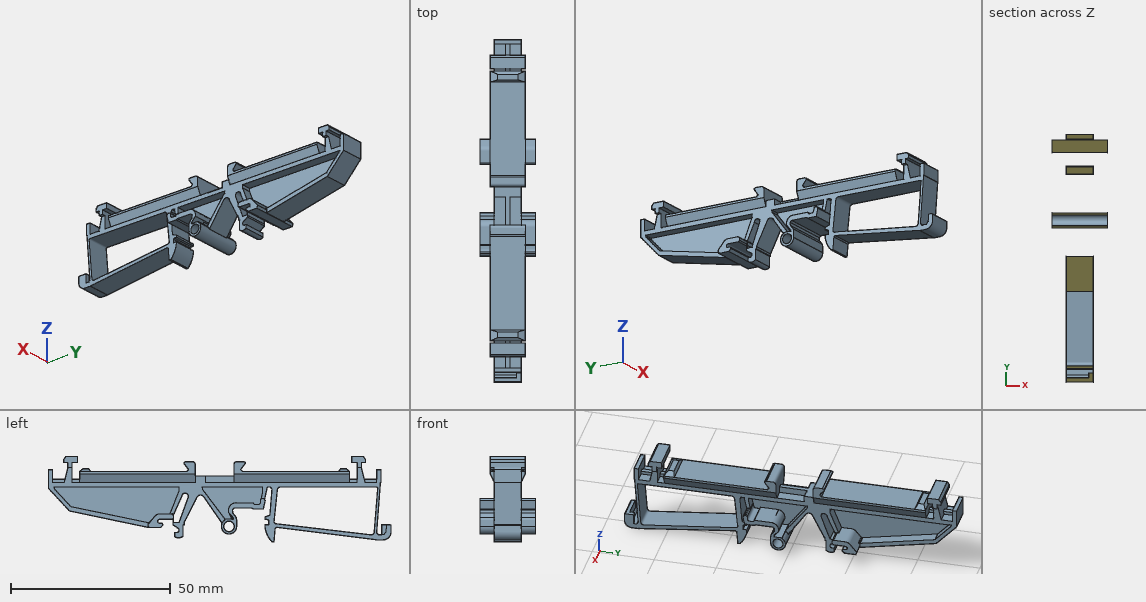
import cadquery as cq


OVERALL_HEIGHT = 26.75

BODY_WIDTH = 8.5
SEAT_WIDTH = 11.0
FULL_WIDTH = 17.5
WEB_WIDTH = 1.5

BEAM_THICKNESS = 1.5
BEAM_PLUS_END = 52.0
BEAM_MINUS_END = -51.5

SEAT_INNER = 6.0
SEAT_OUTER = 42.2
SEAT_TOP = 3.4
SEAT_EDGE_BOTTOM = 2.65
HOOK_TOP = 6.5
HOOK_REACH = 9.6
HOOK_ROUND = 1.0
BUMP_HEIGHT = 0.87
BUMP_TOP_WIDTH = 6.4
CLIP_TOP = 8.13
CLIP_BOTTOM = 6.15
CLIP_LEDGE = 4.6

WALL_TOP = 3.95
WALL_INNER = 50.65
MINUS_WALL_OUTER = -52.05
END_RIB_TOP = 1.0
CENTER_TOP = 2.0
CENTER_BLOCK_END = 2.85

SKIRT_BOTTOM = -14.15
HOOK_ARM_TOP = -9.9
HOOK_ARM_BOTTOM = -11.6
FOOT_TOP = -12.5
HINGE_OUTER = 13.1
HINGE_INNER = 12.85
CROTCH_Y = 5.4
CROTCH_Z = -4.5

ARM_ROOT_Z = -5.05
ARM_TOP = -6.4
ARM_BOTTOM = -8.05
RING_Y = -4.5
RING_Z = -13.8
RING_RADIUS = 2.4
RING_FLAT_Z = -11.55
RING_BORE_RADIUS = 1.62
RING_STRAP_Y = -6.95

LIP_OUTER = -55.2
LIP_TOP = -13.2
LIP_ROUND = 2.5
LIP_CHAMFER = 0.3
HANDLE_BOTTOM = -18.05
LIP_STOP_WIDTH = 1.5

BLADE_TIP_Z = CLIP_TOP - OVERALL_HEIGHT


def prism(points, width):
    """Straight-sided (Y, Z) outline extruded symmetrically about X = 0."""
    return cq.Workplane("YZ").polyline(points).close().extrude(width / 2, both=True)


def box(y_start, y_end, z_low, z_high, width):
    return prism([(y_start, z_low), (y_end, z_low), (y_end, z_high), (y_start, z_high)], width)


def side_pockets(points):
    """Cutter for a pocket on both sides that leaves the central web."""
    return prism(points, BODY_WIDTH).cut(prism(points, WEB_WIDTH))


def round_corner(solid, corner, radius):
    """Fillet the X-parallel edge that passes through the (Y, Z) corner."""
    nearest = cq.selectors.NearestToPointSelector((0, corner[0], corner[1]))
    return solid.edges("|X").edges(nearest).fillet(radius)


def seat_plate():
    """Board plate: upright edges on top, then tapering down to the body width."""
    half_seat = SEAT_WIDTH / 2
    half_body = BODY_WIDTH / 2
    section = [
        (-half_body, 0),
        (half_body, 0),
        (half_seat, SEAT_EDGE_BOTTOM),
        (half_seat, SEAT_TOP),
        (-half_seat, SEAT_TOP),
        (-half_seat, SEAT_EDGE_BOTTOM),
    ]
    plate = cq.Workplane("XZ", origin=(0, SEAT_OUTER, 0)).polyline(section).close()
    return plate.extrude(SEAT_OUTER - SEAT_INNER)


def seat_hook():
    """Undercut hook at the inner end of the board plate."""
    outline = [
        (SEAT_INNER, SEAT_EDGE_BOTTOM),
        (SEAT_INNER, HOOK_TOP),
        (9.0, HOOK_TOP),
        (HOOK_REACH, 6.25),
        (HOOK_REACH, 5.9),
        (8.2, 4.0),
        (8.7, SEAT_TOP),
        (8.7, SEAT_EDGE_BOTTOM),
    ]
    return round_corner(prism(outline, SEAT_WIDTH), (SEAT_INNER, HOOK_TOP), HOOK_ROUND)


def seat_bump():
    """Low locating bump at the outer end of the board plate."""
    base_inner = 38.75
    top_inner = 39.4
    top_outer = 41.2
    base = cq.Workplane("XY", origin=(0, (base_inner + SEAT_OUTER) / 2, SEAT_TOP))
    top_shift = (top_inner + top_outer - base_inner - SEAT_OUTER) / 2
    return (
        base.rect(SEAT_WIDTH, SEAT_OUTER - base_inner)
        .workplane(offset=BUMP_HEIGHT)
        .center(0, top_shift)
        .rect(BUMP_TOP_WIDTH, top_outer - top_inner)
        .loft(ruled=True)
    )


def board_clip():
    """T-shaped clip: a wide head and neck on a stem that flares to the beam."""
    neck_inner = 44.55
    neck_outer = 45.95
    head = prism(
        [(42.85, CLIP_BOTTOM), (42.85, CLIP_TOP), (46.5, CLIP_TOP), (47.2, 7.2), (47.2, CLIP_BOTTOM)],
        SEAT_WIDTH,
    )
    neck = box(neck_inner, neck_outer, CLIP_LEDGE, CLIP_BOTTOM, SEAT_WIDTH)
    stem = prism(
        [(neck_inner, 0), (47.05, 0), (neck_outer, CLIP_LEDGE), (neck_inner, CLIP_LEDGE)],
        BODY_WIDTH,
    )
    return head.union(neck).union(stem)


def board_seat():
    return seat_plate().union(seat_hook()).union(seat_bump()).union(board_clip())


def beam():
    """Main beam with its end walls, narrow ribs and centre block."""
    part = box(BEAM_MINUS_END, BEAM_PLUS_END, -BEAM_THICKNESS, 0, BODY_WIDTH)
    part = part.union(box(WALL_INNER, BEAM_PLUS_END, 0, WALL_TOP, BODY_WIDTH))
    part = part.union(box(MINUS_WALL_OUTER, -WALL_INNER, 0, WALL_TOP, BODY_WIDTH))
    for side in (1, -1):
        part = part.union(box(side * SEAT_OUTER, side * WALL_INNER, 0, END_RIB_TOP, WEB_WIDTH))
    part = part.union(box(CENTER_BLOCK_END, SEAT_INNER, 0, CENTER_TOP, BODY_WIDTH))
    return part.union(box(-SEAT_INNER, CENTER_BLOCK_END, 0, CENTER_TOP, WEB_WIDTH))


def skirt():
    """Pocketed skirt under the +Y seat with the latch foot, joined to it by a thin hinge strip."""
    outline = (
        cq.Workplane("YZ")
        .moveTo(BEAM_PLUS_END, 0)
        .lineTo(BEAM_PLUS_END, -1.9)
        .lineTo(45.4, -9.0)
        .lineTo(20.8, SKIRT_BOTTOM)
        .lineTo(20.8, -12.9)
        .lineTo(17.3, HOOK_ARM_TOP)
        .lineTo(HINGE_OUTER, HOOK_ARM_TOP)
        .lineTo(HINGE_OUTER, -13.3)
        .lineTo(11.6, -14.3)
        .threePointArc((11.15, -15.0), (11.7, -15.65))
        .lineTo(12.5, -15.65)
        .lineTo(12.5, -17.0)
        .threePointArc((11.2, -17.4), (9.85, -16.8))
        .lineTo(9.85, -13.3)
        .lineTo(9.5, -13.3)
        .lineTo(9.5, -12.55)
        .lineTo(CROTCH_Y, CROTCH_Z)
        .lineTo(CROTCH_Y, 0)
        .close()
        .extrude(BODY_WIDTH / 2, both=True)
    )
    pocket = [
        (50.3, -BEAM_THICKNESS),
        (50.0, -2.2),
        (45.0, -7.6),
        (20.7, -12.65),
        (14.0, HOOK_ARM_TOP),
        (11.1, -2.6),
        (11.1, -BEAM_THICKNESS),
    ]
    return outline.cut(side_pockets(pocket)).cut(foot_slot())


def foot_slot():
    """Slanted round-ended slot that frees the latch foot from the skirt."""
    return (
        cq.Workplane("YZ")
        .moveTo(10.25, -4.4)
        .threePointArc((9.5, -3.45), (8.3, -4.7))
        .lineTo(11.15, FOOT_TOP)
        .lineTo(HINGE_INNER, FOOT_TOP)
        .lineTo(HINGE_INNER, -10.2)
        .close()
        .extrude(BODY_WIDTH, both=True)
    )


def rail_hook():
    """Full-width hook at the end of the skirt that grips the rail edge."""
    return (
        cq.Workplane("YZ")
        .moveTo(12.9, -10.35)
        .lineTo(13.45, HOOK_ARM_TOP)
        .lineTo(17.3, HOOK_ARM_TOP)
        .threePointArc((18.05, -10.1), (18.65, -10.55))
        .lineTo(20.9, -13.2)
        .lineTo(20.6, SKIRT_BOTTOM)
        .lineTo(16.9, SKIRT_BOTTOM)
        .lineTo(16.1, -13.3)
        .lineTo(16.4, -12.8)
        .lineTo(17.6, -12.7)
        .threePointArc((17.75, -12.0), (17.1, HOOK_ARM_BOTTOM))
        .lineTo(13.3, HOOK_ARM_BOTTOM)
        .lineTo(12.9, -11.2)
        .close()
        .extrude(FULL_WIDTH / 2, both=True)
    )


def strut_web():
    """Pocketed panel between the slanting strut and the -Y seat."""
    outline = (
        cq.Workplane("YZ")
        .moveTo(CROTCH_Y, 0)
        .lineTo(CROTCH_Y, CROTCH_Z)
        .threePointArc((4.4, -4.0), (3.45, CROTCH_Z))
        .lineTo(-2.35, -12.9)
        .lineTo(-5.5, -12.4)
        .lineTo(-5.2, -9.0)
        .lineTo(-6.3, -7.0)
        .lineTo(-15.3, -7.0)
        .lineTo(-16.5, -BEAM_THICKNESS)
        .lineTo(-16.5, 0)
        .close()
        .extrude(BODY_WIDTH / 2, both=True)
    )
    pocket = [
        (3.9, -BEAM_THICKNESS),
        (3.8, -2.2),
        (-3.05, -11.3),
        (-3.05, -13.0),
        (-5.9, -13.0),
        (-4.3, -9.0),
        (-6.3, ARM_TOP),
        (-6.3, -7.0),
        (-14.2, -7.0),
        (-15.05, -2.7),
        (-15.05, -BEAM_THICKNESS),
    ]
    return outline.cut(side_pockets(pocket))


def pivot_arm():
    """Full-width arm that curls from the pivot ring out under the -Y seat."""
    return (
        cq.Workplane("YZ")
        .moveTo(-14.85, ARM_ROOT_Z)
        .lineTo(-14.4, -5.3)
        .lineTo(-14.3, -6.4)
        .threePointArc((-14.1, -6.75), (-13.7, -6.95))
        .lineTo(-12.4, -6.95)
        .lineTo(-12.1, ARM_TOP)
        .lineTo(-6.9, ARM_TOP)
        .threePointArc((-5.0, -7.1), (-4.3, -8.6))
        .lineTo(-4.3, -9.4)
        .lineTo(-5.8, -11.1)
        .lineTo(-5.8, RING_Z)
        .lineTo(RING_STRAP_Y, RING_Z)
        .lineTo(RING_STRAP_Y, -11.9)
        .lineTo(-6.75, -10.95)
        .lineTo(-5.75, -9.65)
        .lineTo(-5.65, -9.0)
        .lineTo(-5.65, -8.6)
        .lineTo(-6.2, ARM_BOTTOM)
        .lineTo(-11.6, ARM_BOTTOM)
        .lineTo(-12.1, -8.35)
        .lineTo(-15.25, -8.35)
        .lineTo(-15.85, -5.75)
        .lineTo(-15.3, ARM_ROOT_Z)
        .close()
        .extrude(FULL_WIDTH / 2, both=True)
    )


def ring_cylinder(radius):
    return cq.Workplane("YZ").center(RING_Y, RING_Z).circle(radius).extrude(FULL_WIDTH / 2, both=True)


def pivot_ring():
    """Full-width ring with a flattened top that joins the strut and the arm."""
    collar = box(-5.9, -3.2, RING_Z, RING_FLAT_Z, FULL_WIDTH)
    above_flat = box(RING_Y - RING_RADIUS, RING_Y + RING_RADIUS, RING_FLAT_Z, 0, FULL_WIDTH)
    return ring_cylinder(RING_RADIUS).cut(above_flat).union(collar)


def handle_frame():
    """Open frame below the -Y seat: post, sloping bar and thin outer leg."""
    outline = [
        (-17.4, 0),
        (-17.4, -BEAM_THICKNESS),
        (-17.9, -2.1),
        (-17.25, -10.3),
        (-16.9, -12.0),
        (-16.9, -14.1),
        (-19.3, -14.1),
        (-50.9, HANDLE_BOTTOM),
        (-50.75, -15.3),
        (-51.9, 0),
    ]
    post_top = (-19.75, -BEAM_THICKNESS)
    post_foot = (-18.55, -12.85)
    leg_foot = (-49.8, -16.5)
    leg_top = (-51.0, -BEAM_THICKNESS)
    window = prism([post_top, post_foot, leg_foot, leg_top], FULL_WIDTH)
    for corner in (post_top, leg_foot):
        window = round_corner(window, corner, 0.9)
    window = round_corner(window, post_foot, 0.6)
    window = round_corner(window, leg_top, 0.4)
    return prism(outline, BODY_WIDTH).cut(window)


def post_catches():
    """Catch tooth and curved blade on the inner side of the handle post."""
    tooth = prism(
        [(-17.3, -10.2), (-15.7, -10.85), (-15.7, -11.55), (-16.5, -11.65), (-17.3, -12.2)],
        BODY_WIDTH,
    )
    blade = (
        cq.Workplane("YZ")
        .moveTo(-15.7, -13.2)
        .lineTo(-15.7, -14.0)
        .threePointArc((-16.4, -16.4), (-17.9, BLADE_TIP_Z))
        .lineTo(-18.6, BLADE_TIP_Z)
        .lineTo(-18.95, -14.5)
        .lineTo(-19.4, -14.1)
        .lineTo(-18.5, -13.2)
        .close()
        .extrude(BODY_WIDTH / 2, both=True)
    )
    return tooth.union(blade)


def handle_lip():
    """Upturned lip with a groove that stops short of the +X side."""
    floor = -16.4
    lip_inner = -52.2
    outline = [
        (-50.5, HANDLE_BOTTOM),
        (LIP_OUTER, HANDLE_BOTTOM),
        (LIP_OUTER, LIP_TOP - LIP_CHAMFER),
        (LIP_OUTER + LIP_CHAMFER, LIP_TOP),
        (lip_inner, LIP_TOP),
        (lip_inner, floor),
        (-51.2, floor),
        (-50.5, -15.5),
    ]
    lip = round_corner(prism(outline, BODY_WIDTH), (LIP_OUTER, HANDLE_BOTTOM), LIP_ROUND)
    groove = [
        (lip_inner, LIP_TOP),
        (-53.8, LIP_TOP),
        (-53.6, -15.5),
        (-52.9, floor),
        (lip_inner, floor),
    ]
    return lip.cut(prism(groove, BODY_WIDTH).translate((-LIP_STOP_WIDTH, 0, 0)))


seat = board_seat()
result = beam().union(seat).union(seat.mirror("XZ"))
result = result.union(skirt()).union(rail_hook())
result = result.union(strut_web()).union(pivot_arm()).union(pivot_ring())
result = result.cut(ring_cylinder(RING_BORE_RADIUS))
result = result.union(handle_frame()).union(post_catches()).union(handle_lip())